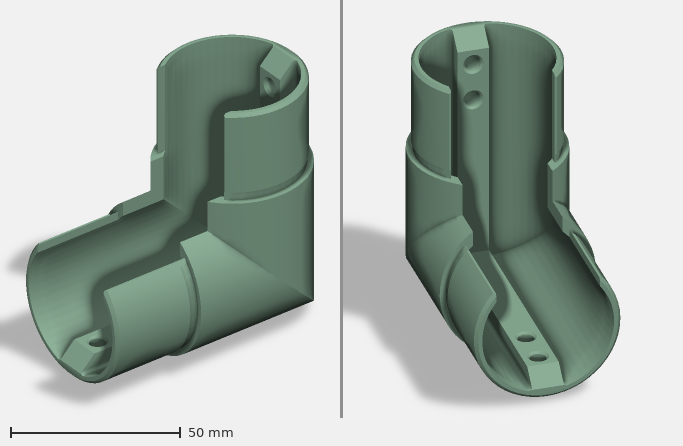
import cadquery as cq
import math

overall_length = 84.0
sleeve_radius = 24.1
spigot_radius = 22.6
neck_radius = 22.2
bore_radius = 20.3

leg_end = overall_length - sleeve_radius
spigot_length = 30.0
neck_length = 2.85
sleeve_end = leg_end - spigot_length
neck_end = sleeve_end + neck_length
end_chamfer = 1.0

sleeve_slot_width = 27.7
spigot_slot_width = 31.9
spigot_lip_offset = 15.3

rib_width = 9.7
rib_face_offset = 14.0
rib_root_fillet = 1.0
rib_bevel_foot_offset = 19.15
rib_bevel = rib_bevel_foot_offset - rib_face_offset

hole_diameter = 5.0
hole_rim_diameter = 6.4
first_hole_from_end = 10.0
hole_spacing = 12.0
hole_count = 2

clearance = 2 * overall_length


def cylinder(radius, bottom, top):
    return cq.Workplane("XY").workplane(offset=bottom).circle(radius).extrude(top - bottom)


def opening(width, bottom, top):
    """Parallel-sided cut from the tube axis out through the -Y wall."""
    return (
        cq.Workplane("XY")
        .box(width, sleeve_radius, top - bottom, centered=(True, False, False))
        .translate((0, -sleeve_radius, bottom))
    )


def tube():
    """Straight vertical leg: sleeve, neck and chamfered spigot, bored and opened."""
    sleeve = cylinder(sleeve_radius, -sleeve_radius, sleeve_end)
    neck = cylinder(neck_radius, sleeve_end, neck_end)
    spigot = cylinder(spigot_radius, neck_end, leg_end).faces(">Z").chamfer(end_chamfer)
    body = sleeve.union(neck).union(spigot)
    body = body.cut(cylinder(bore_radius, -sleeve_radius, leg_end))
    body = body.cut(opening(sleeve_slot_width, -sleeve_radius, sleeve_end))
    body = body.cut(opening(spigot_slot_width, sleeve_end, leg_end))
    beyond_lips = opening(2 * sleeve_radius, sleeve_end, leg_end).translate((0, -spigot_lip_offset, 0))
    return body.cut(beyond_lips)


def rib():
    """Rib along the +Y wall, with filleted roots and a 45 degree bevel at its end."""
    half_width = rib_width / 2
    fillet_x = half_width + rib_root_fillet
    fillet_y = math.sqrt((bore_radius - rib_root_fillet) ** 2 - fillet_x**2)
    tangent_scale = bore_radius / (bore_radius - rib_root_fillet)
    root_x = fillet_x * tangent_scale
    root_y = fillet_y * tangent_scale
    root_angle = math.atan2(fillet_y, fillet_x)
    middle_angle = (root_angle + math.pi) / 2
    middle_x = fillet_x + rib_root_fillet * math.cos(middle_angle)
    middle_y = fillet_y + rib_root_fillet * math.sin(middle_angle)
    buried_y = (bore_radius + neck_radius) / 2

    profile = (
        cq.Workplane("XY")
        .workplane(offset=-sleeve_radius)
        .moveTo(-half_width, rib_face_offset)
        .lineTo(half_width, rib_face_offset)
        .lineTo(half_width, fillet_y)
        .threePointArc((middle_x, middle_y), (root_x, root_y))
        .threePointArc((0, buried_y), (-root_x, root_y))
        .threePointArc((-middle_x, middle_y), (-half_width, fillet_y))
        .close()
    )
    bar = profile.extrude(leg_end + sleeve_radius)
    bevel = (
        cq.Workplane("YZ")
        .moveTo(rib_face_offset, leg_end - rib_bevel)
        .lineTo(rib_bevel_foot_offset, leg_end)
        .lineTo(rib_face_offset, leg_end)
        .close()
        .extrude(rib_width, both=True)
    )
    return bar.cut(bevel)


def screw_hole(height):
    """Radial hole through rib and wall, countersunk at the rib face."""
    rim_depth = (hole_rim_diameter - hole_diameter) / 2
    hole_radius = hole_diameter / 2
    outline = (
        cq.Workplane("XY")
        .moveTo(0, rib_face_offset)
        .lineTo(hole_rim_diameter / 2, rib_face_offset)
        .lineTo(hole_radius, rib_face_offset + rim_depth)
        .lineTo(hole_radius, sleeve_radius)
        .lineTo(0, sleeve_radius)
        .close()
    )
    return outline.revolve(360, (0, 0, 0), (0, 1, 0)).translate((0, 0, height))


def below_mitre():
    """Everything under the 45 degree plane where the two legs meet."""
    return (
        cq.Workplane("YZ")
        .moveTo(-clearance, clearance)
        .lineTo(clearance, -clearance)
        .lineTo(-clearance, -clearance)
        .close()
        .extrude(clearance, both=True)
    )


def vertical_leg():
    leg = tube().union(rib())
    for index in range(hole_count):
        height = leg_end - first_hole_from_end - index * hole_spacing
        leg = leg.cut(screw_hole(height))
    return leg.cut(below_mitre())


upright = vertical_leg()
level = upright.rotate((0, 0, 0), (1, 0, 0), 90).mirror("XY")
result = upright.union(level)